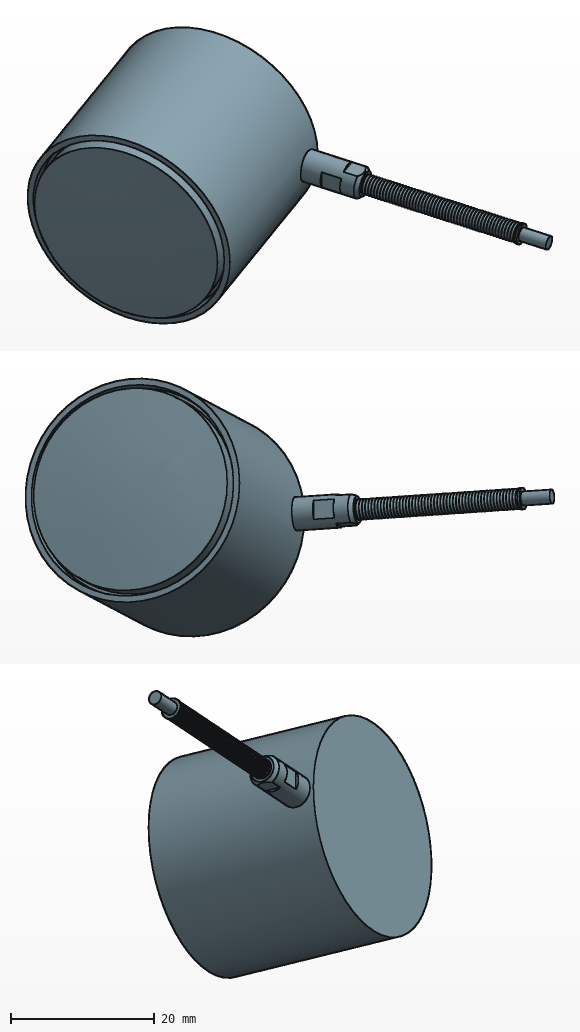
import cadquery as cq

HOUSING_DIAMETER = 31.8
COVER_LENGTH = 5.85
RIM_FRONT = 27.0

BUTTON_DIAMETER = 28.7
BUTTON_EDGE_FRONT = 27.8
DOME_FRONT = 28.7
GAP_FLOOR_DIAMETER = 29.7
GAP_MOUTH_DIAMETER = 30.0
GAP_DEPTH = 2.1

GLAND_DIAMETER = 4.7
GLAND_AXIS_Y = -COVER_LENGTH / 2
SLEEVE_FLAT_START = 19.0
SLEEVE_END = 22.05
SLEEVE_FLATS_ACROSS = 3.9
NUT_CHAMFER_START = 24.2
NUT_END = 24.8
NUT_FLATS_ACROSS = 4.0
NUT_END_DIAMETER = 3.75

RIB_DIAMETER = 2.9
GROOVE_DIAMETER = 2.5
GROOVE_COUNT = 51
GROOVES_START = 25.0
GROOVES_END = 48.75
RIB_WIDTH = 0.035
COLLAR_DIAMETER = 3.05
COLLAR_START = 49.0
COLLAR_END = 49.4

CABLE_DIAMETER = 2.0
OVERALL_LENGTH = 69.5
CABLE_END = OVERALL_LENGTH - HOUSING_DIAMETER / 2


def make_housing():
    """Revolve the cover, the can, the gap and the domed button about Y."""
    housing_radius = HOUSING_DIAMETER / 2
    button_radius = BUTTON_DIAMETER / 2
    floor_radius = GAP_FLOOR_DIAMETER / 2
    mouth_radius = GAP_MOUTH_DIAMETER / 2
    gap_floor = RIM_FRONT - GAP_DEPTH

    dome_height = DOME_FRONT - BUTTON_EDGE_FRONT
    sphere_radius = (button_radius**2 + dome_height**2) / (2 * dome_height)
    mid_radius = button_radius / 2
    mid_front = DOME_FRONT - sphere_radius + (sphere_radius**2 - mid_radius**2) ** 0.5

    profile = (
        cq.Workplane("XY")
        .lineTo(housing_radius, 0)
        .lineTo(housing_radius, -RIM_FRONT)
        .lineTo(mouth_radius, -RIM_FRONT)
        .lineTo(floor_radius, -gap_floor)
        .lineTo(button_radius, -gap_floor)
        .lineTo(button_radius, -BUTTON_EDGE_FRONT)
        .threePointArc((mid_radius, -mid_front), (0, -DOME_FRONT))
        .close()
    )
    return profile.revolve(360, (0, 0, 0), (0, 1, 0))


def rod_along_x(diameter, start, end):
    """Round rod on the gland axis."""
    plane = cq.Workplane("YZ", origin=(start, GLAND_AXIS_Y, 0))
    return plane.circle(diameter / 2).extrude(end - start)


def block_along_x(start, end, size_y, size_z):
    """Rectangular block centred on the gland axis."""
    plane = cq.Workplane("YZ", origin=(start, GLAND_AXIS_Y, 0))
    return plane.rect(size_y, size_z).extrude(end - start)


def make_sleeve():
    """Sleeve rooted inside the cover, with two wrench flats facing front and back."""
    round_part = rod_along_x(GLAND_DIAMETER, 0, SLEEVE_FLAT_START)
    flatted_part = rod_along_x(GLAND_DIAMETER, SLEEVE_FLAT_START, SLEEVE_END).intersect(
        block_along_x(SLEEVE_FLAT_START, SLEEVE_END, SLEEVE_FLATS_ACROSS, GLAND_DIAMETER)
    )
    return round_part.union(flatted_part)


def make_nut():
    """Nut with a conical outer end and two wrench flats facing up and down."""
    nut = (
        rod_along_x(GLAND_DIAMETER, SLEEVE_END, NUT_END)
        .faces(">X")
        .chamfer(NUT_END - NUT_CHAMFER_START, (GLAND_DIAMETER - NUT_END_DIAMETER) / 2)
    )
    return nut.intersect(block_along_x(SLEEVE_END, NUT_END, GLAND_DIAMETER, NUT_FLATS_ACROSS))


def make_conduit():
    """Revolve the ribbed conduit, its end collar and the cable about the gland axis."""
    pitch = (GROOVES_END - GROOVES_START) / GROOVE_COUNT
    rib_radius = RIB_DIAMETER / 2
    groove_radius = GROOVE_DIAMETER / 2
    collar_radius = COLLAR_DIAMETER / 2
    cable_radius = CABLE_DIAMETER / 2

    profile = (
        cq.Workplane("XY", origin=(0, GLAND_AXIS_Y, 0))
        .moveTo(SLEEVE_END, 0)
        .lineTo(SLEEVE_END, rib_radius)
    )
    for index in range(GROOVE_COUNT):
        middle = GROOVES_START + (index + 0.5) * pitch
        half_width = (pitch - RIB_WIDTH) / 2
        profile = profile.lineTo(middle - half_width, rib_radius).threePointArc(
            (middle, groove_radius), (middle + half_width, rib_radius)
        )
    profile = (
        profile.lineTo(COLLAR_START, rib_radius)
        .lineTo(COLLAR_START, collar_radius)
        .lineTo(COLLAR_END, collar_radius)
        .lineTo(COLLAR_END, cable_radius)
        .lineTo(CABLE_END, cable_radius)
        .lineTo(CABLE_END, 0)
        .close()
    )
    return profile.revolve(360, (0, 0, 0), (1, 0, 0))


result = make_housing().union(make_sleeve()).union(make_nut()).union(make_conduit())